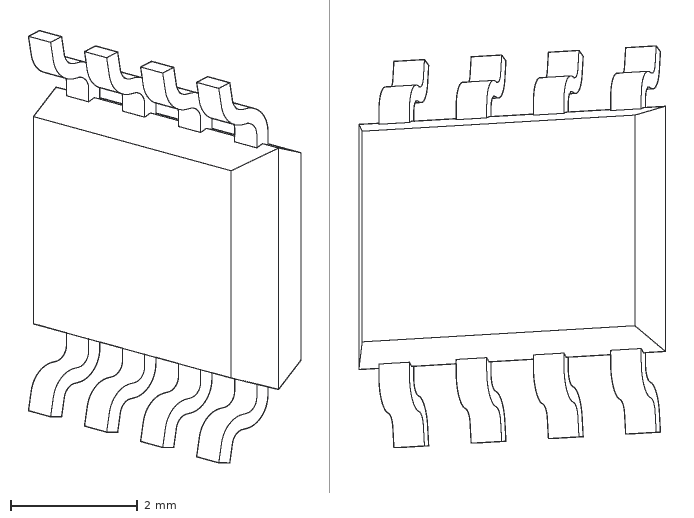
import cadquery as cq
import math


overall_height = 6.25

body_width = 5.06
body_height = 3.97
body_depth = 1.545
draft_angle = 20.0

leads_per_side = 4
lead_pitch = 1.275
lead_width = 0.505
lead_thickness = 0.25
inner_bend_radius = 0.225
flat_length = 0.09
foot_length = 0.32
foot_tilt = 11.0
embedded_length = 0.375

bend_radius = inner_bend_radius + lead_thickness / 2


def make_body():
    """Two tapered halves meeting at the parting plane."""
    def half(depth):
        return (
            cq.Workplane("XZ")
            .rect(body_width, body_height)
            .extrude(depth, taper=draft_angle)
        )

    front_half = half(body_depth / 2)
    return front_half.union(front_half.mirror("XZ"))


def lead_path():
    """Centreline of an upper lead in the YZ plane, from inside the body to the foot end."""
    tilt = math.radians(foot_tilt)
    turn = math.pi / 2 - tilt

    flat_start = bend_radius
    flat_end = flat_start + flat_length
    foot_start = flat_end + bend_radius * math.sin(turn)
    foot_end = foot_start + foot_length * math.sin(tilt)

    foot_end_z = overall_height / 2 - lead_thickness / 2 * math.sin(tilt)
    foot_start_z = foot_end_z - foot_length * math.cos(tilt)
    flat_z = foot_start_z - bend_radius * (1 - math.cos(turn))
    first_bend_z = flat_z - bend_radius
    root_z = body_height / 2 - embedded_length

    first_middle = (
        -bend_radius * (1 - math.cos(math.pi / 4)),
        first_bend_z + bend_radius * math.sin(math.pi / 4),
    )
    second_middle = (
        -flat_end - bend_radius * math.sin(turn / 2),
        flat_z + bend_radius * (1 - math.cos(turn / 2)),
    )

    return (
        cq.Workplane("YZ")
        .moveTo(0, root_z)
        .lineTo(0, first_bend_z)
        .threePointArc(first_middle, (-flat_start, flat_z))
        .lineTo(-flat_end, flat_z)
        .threePointArc(second_middle, (-foot_start, foot_start_z))
        .lineTo(-foot_end, foot_end_z)
    )


def make_upper_lead():
    """Flat strip swept along the lead centreline, centred on x = 0."""
    return (
        cq.Workplane("XY", origin=(0, 0, body_height / 2 - embedded_length))
        .rect(lead_width, lead_thickness)
        .sweep(lead_path())
    )


result = make_body()
upper_lead = make_upper_lead()
lower_lead = upper_lead.mirror("XY")
for index in range(leads_per_side):
    x = (index - (leads_per_side - 1) / 2) * lead_pitch
    for lead in (upper_lead, lower_lead):
        result = result.union(lead.translate((x, 0, 0)))